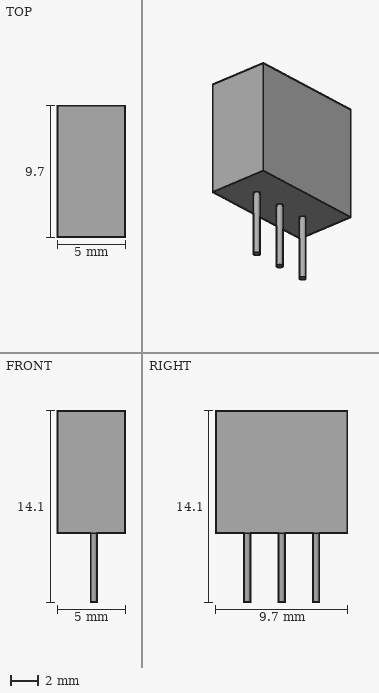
import cadquery as cq

total_height = 14.1
body_width = 5.0
body_length = 9.7

pin_diameter = 0.5
pin_length = 5.08
pin_pitch = 2.54
pin_count = 3
pin_row_offset = 0.2

body_height = total_height - pin_length


def make_body():
    """Plain rectangular package with its underside at Z = 0."""
    return cq.Workplane("XY").box(
        body_width, body_length, body_height, centered=(True, True, False)
    )


def make_pin(y):
    """Round pin hanging from the underside of the body."""
    return (
        cq.Workplane("XY")
        .center(pin_row_offset, y)
        .circle(pin_diameter / 2)
        .extrude(-pin_length)
    )


body = make_body()

pins = []
for index in range(pin_count):
    pin_y = (index - (pin_count - 1) / 2) * pin_pitch
    pins.append(make_pin(pin_y).val())

result = cq.Compound.makeCompound([body.val(), *pins])